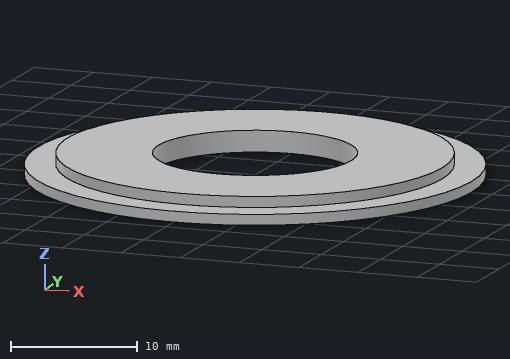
import cadquery as cq

flange_diameter = 36.5
step_diameter = 31.5
bore_diameter = 16.2
total_height = 1.8
flange_height = total_height / 2

flange = cq.Workplane("XY").circle(flange_diameter / 2).extrude(flange_height)

stepped_disc = (
    flange.faces(">Z").workplane()
    .circle(step_diameter / 2)
    .extrude(total_height - flange_height)
)

result = stepped_disc.faces(">Z").workplane().hole(bore_diameter)